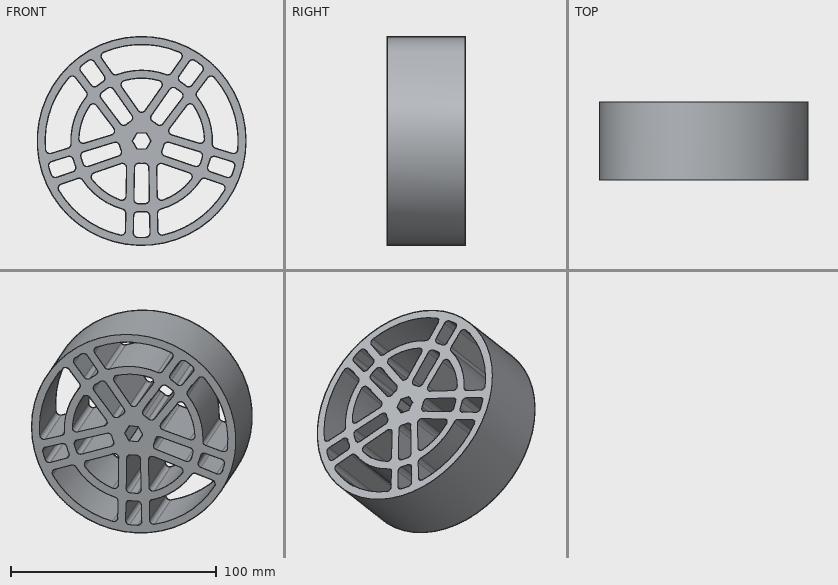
import cadquery as cq
import math

wheel_diameter = 101.6
wheel_width = 38.1
wall = 4.0
ring_outer_radius = 34.4
hub_radius = 11.0
corner_radius = 2.0
hex_across_flats = 7.7

spoke_count = 5
spoke_gap_at_axis = 6.4
spoke_flare_angle = 1.0

wheel_radius = wheel_diameter / 2
rim_inner_radius = wheel_radius - wall
ring_inner_radius = ring_outer_radius - wall
spoke_pitch = 360 / spoke_count
flare = math.radians(spoke_flare_angle)
gap_half_width = spoke_gap_at_axis / 2
spoke_half_width = gap_half_width + wall / math.cos(flare)
cutter_length = wheel_diameter


def wheel_face():
    """Sketch plane on the +Y face; extruding by the wheel width reaches the -Y face."""
    return cq.Workplane("XZ", origin=(0, wheel_width / 2, 0))


def disc(radius):
    return wheel_face().circle(radius).extrude(wheel_width)


def annulus(inner_radius, outer_radius):
    return disc(outer_radius).cut(disc(inner_radius))


def rotate_about_axis(body, angle):
    return body.rotate((0, 0, 0), (0, 1, 0), angle)


def spoke_gap():
    """Flared space between the two walls of the spoke that points along -Z."""
    end_half_width = gap_half_width + cutter_length * math.tan(flare)
    outline = [
        (-gap_half_width, 0),
        (gap_half_width, 0),
        (end_half_width, -cutter_length),
        (-end_half_width, -cutter_length),
    ]
    return wheel_face().polyline(outline).close().extrude(wheel_width)


def sector():
    """Triangular space between two neighbouring spokes, opening along -Z."""
    half_angle = math.radians(spoke_pitch / 2) - flare
    apex = spoke_half_width * math.cos(flare) / math.sin(half_angle)
    end_half_width = cutter_length * math.tan(half_angle)
    outline = [
        (0, -apex),
        (end_half_width, -apex - cutter_length),
        (-end_half_width, -apex - cutter_length),
    ]
    return wheel_face().polyline(outline).close().extrude(wheel_width)


def window(opening, band):
    """The part of an opening that lies inside a round band, with rounded corners."""
    return opening.intersect(band).edges("|Y").fillet(corner_radius)


outer_band = annulus(ring_outer_radius, rim_inner_radius)
spoke_windows = [
    window(spoke_gap(), annulus(hub_radius, ring_inner_radius)),
    window(spoke_gap(), outer_band),
]
sector_windows = [
    window(sector(), disc(ring_inner_radius)),
    window(sector(), outer_band),
]

result = disc(wheel_radius)
for spoke in range(spoke_count):
    spoke_direction = spoke * spoke_pitch
    for cutter in spoke_windows:
        result = result.cut(rotate_about_axis(cutter, spoke_direction))
    for cutter in sector_windows:
        result = result.cut(rotate_about_axis(cutter, spoke_direction + spoke_pitch / 2))

hex_across_corners = hex_across_flats / math.cos(math.radians(30))
bore = wheel_face().polygon(6, hex_across_corners).extrude(wheel_width)
result = result.cut(bore)